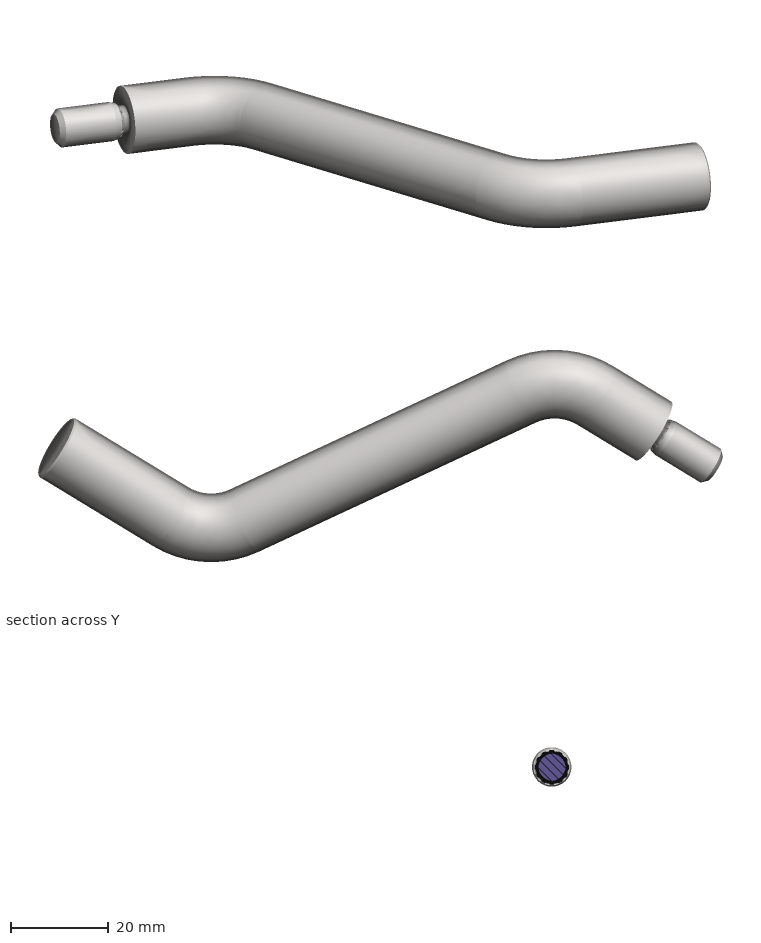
import cadquery as cq
import math

rod_diameter = 14.0
rod_height = 100.0
rod_offset = 69.9
foot_length = 14.3
grip_length = 28.0
bend_angle = math.radians(60)
grip_chamfer = 0.3

dish_diameter = 10.8
dish_depth = 0.17

stud_diameter = 8.0
stud_length = 15.0
stud_tip_chamfer = 1.0
stud_taper_length = 1.3
neck_diameter = 6.1
seat_depth = 11.5

ring_diameter = 7.5
ring_start = 0.9
ring_height = 0.8
tooth_count = 12
notch_depth = 0.2
notch_angle = 180 / tooth_count

rod_radius = rod_diameter / 2
dish_radius = dish_diameter / 2
stud_radius = stud_diameter / 2
neck_radius = neck_diameter / 2
ring_radius = ring_diameter / 2
shoulder_y = -(ring_start + ring_height)


def revolve_about_y(profile, angle=360):
    """Turn a closed outline of (radius, y) points about the Y axis."""
    return cq.Workplane("XY").polyline(profile).close().revolve(angle, (0, 0, 0), (0, 1, 0))


def rod_path():
    """Centre line: two straight ends and a slanted middle, joined by two equal bends."""
    rise = rod_height - foot_length - grip_length
    sine, cosine = math.sin(bend_angle), math.cos(bend_angle)
    bend_radius = (rise * sine - rod_offset * cosine) / (2 * (1 - cosine))

    def bend_point(angle):
        return bend_radius * (1 - math.cos(angle)), foot_length + bend_radius * math.sin(angle)

    def mirrored(point):
        """The same point of the second bend, half a turn about the middle of the path."""
        return rod_offset - point[0], 2 * foot_length + rise - point[1]

    bend_middle = bend_point(bend_angle / 2)
    bend_end = bend_point(bend_angle)
    return (
        cq.Workplane("XY")
        .lineTo(0, foot_length)
        .threePointArc(bend_middle, bend_end)
        .lineTo(*mirrored(bend_end))
        .threePointArc(mirrored(bend_middle), (rod_offset, rod_height - grip_length))
        .lineTo(rod_offset, rod_height)
    )


def make_rod():
    rod = cq.Workplane("XZ").circle(rod_radius).sweep(rod_path())
    rod = rod.faces(">Y").chamfer(grip_chamfer)
    dish_and_seat = revolve_about_y([
        (0, 0),
        (dish_radius, 0),
        (neck_radius, dish_depth),
        (neck_radius, seat_depth),
        (0, seat_depth),
    ])
    return rod.cut(dish_and_seat)


def make_stud():
    return revolve_about_y([
        (0, seat_depth),
        (neck_radius, seat_depth),
        (neck_radius, shoulder_y),
        (ring_radius, shoulder_y),
        (stud_radius, shoulder_y - stud_taper_length),
        (stud_radius, stud_tip_chamfer - stud_length),
        (stud_radius - stud_tip_chamfer, -stud_length),
        (0, -stud_length),
    ])


def make_toothed_ring():
    """A conical ring with notches that run down its slope, parallel to it."""
    ring = revolve_about_y([
        (neck_radius, -ring_start),
        (ring_radius, shoulder_y),
        (neck_radius, shoulder_y),
    ])
    notch = revolve_about_y(
        [
            (neck_radius, -ring_start),
            (ring_radius, shoulder_y),
            (ring_radius, shoulder_y - notch_depth),
            (neck_radius, -ring_start - notch_depth),
        ],
        notch_angle,
    )
    for index in range(tooth_count):
        turn = (2 * index + 0.5) * notch_angle
        ring = ring.cut(notch.rotate((0, 0, 0), (0, 1, 0), turn))
    return ring


rod = make_rod()
stud = make_stud()
toothed_ring = make_toothed_ring()

result = cq.Compound.makeCompound([rod.solids().val(), stud.val(), toothed_ring.solids().val()])